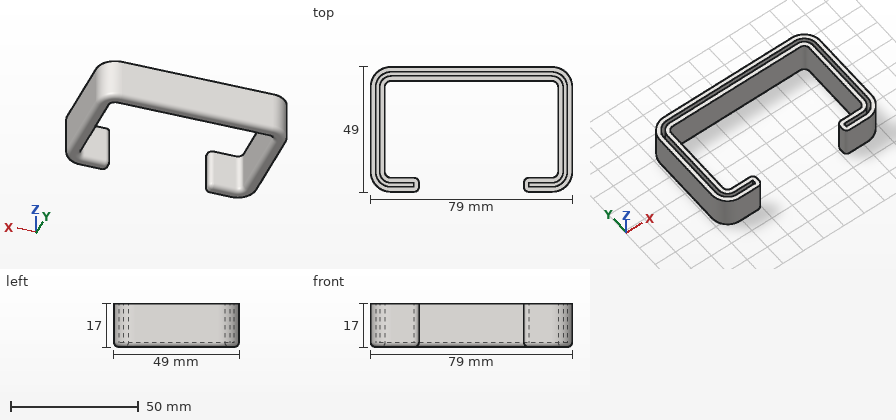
import cadquery as cq

length_x = 79.0
width_y = 49.0
height = 17.0

wall = 2.0
slot_width = 1.6
floor = 2.0
band = 2 * wall + slot_width

outer_corner_radius = 8.0
lip_length = 19.0
end_radius = wall
bottom_fillet = 1.99


def rounded_block(inset, z_bottom):
    """Rounded block inset from the outer outline, running up to the top."""
    return (
        cq.Workplane("XY")
        .workplane(offset=z_bottom)
        .rect(length_x - 2 * inset, width_y - 2 * inset)
        .extrude(height - z_bottom)
        .edges("|Z")
        .fillet(outer_corner_radius - inset)
    )


def c_band(outer_inset, inner_inset, lip_end, z_bottom):
    """Band between two insets, opened at the front between the two lips."""
    ring = rounded_block(outer_inset, z_bottom).cut(rounded_block(inner_inset, z_bottom))
    opening = (
        cq.Workplane("XY")
        .center(0, -width_y / 2)
        .rect(length_x - 2 * lip_end, 2 * outer_corner_radius)
        .extrude(height)
    )
    return ring.cut(opening)


def lip_end_edges(body):
    """Upright edges at the tips of the two lips."""
    tip_x = length_x / 2 - lip_length
    margin = end_radius / 2
    tip_zone = cq.selectors.BoxSelector(
        (-tip_x - margin, -width_y / 2 - margin, 0),
        (tip_x + margin, -width_y / 2 + band + margin, height),
    )
    return body.edges("|Z").edges(tip_zone)


body = c_band(0, band, lip_length, 0)
body = lip_end_edges(body).fillet(end_radius)
body = body.faces("<Z").edges().fillet(bottom_fillet)

slot = c_band(wall, wall + slot_width, lip_length - wall, floor)

result = body.cut(slot)